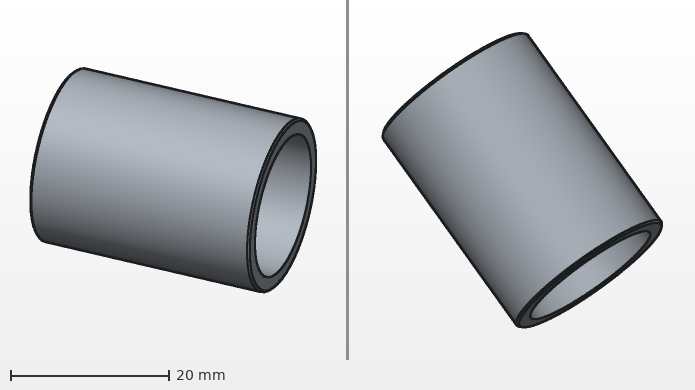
import cadquery as cq

length = 30.0
outer_diameter = 22.5
bore_diameter = 18.5
edge_chamfer = 0.27

body = (
    cq.Workplane("YZ", origin=(-length / 2, 0, 0))
    .circle(outer_diameter / 2)
    .extrude(length)
    .faces("<X or >X")
    .chamfer(edge_chamfer)
)

bore = (
    cq.Workplane("YZ", origin=(-length / 2, 0, 0))
    .circle(bore_diameter / 2)
    .extrude(length)
)

result = body.cut(bore)